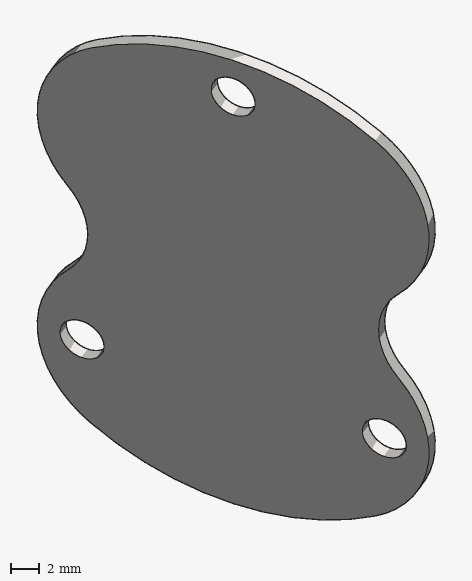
import cadquery as cq
import math

height = 41.65
width = 30.55
thickness = 1.0
waist_width = 22.7
lobe_height = 10.05
hole_diameter = 3.4
top_hole_height = 17.4
lower_hole_offset = 11.8

end_radius = height / 2
half_width = width / 2
half_waist = waist_width / 2

lobe_radius = (end_radius**2 - half_width**2 - lobe_height**2) / (2 * (end_radius - half_width))
lobe_x = half_width - lobe_radius

waist_gap = half_waist - lobe_x
waist_radius = (waist_gap**2 + lobe_height**2 - lobe_radius**2) / (2 * (lobe_radius - waist_gap))
waist_x = half_waist + waist_radius

end_scale = end_radius / math.hypot(lobe_x, lobe_height)
end_x = lobe_x * end_scale
end_z = lobe_height * end_scale
waist_share = waist_radius / (waist_radius + lobe_radius)
neck_x = waist_x + (lobe_x - waist_x) * waist_share
neck_z = lobe_height * waist_share


def make_plate():
    """Waisted plate, centred on the origin, standing in the XZ plane."""
    return (
        cq.Workplane("XZ", origin=(0, thickness / 2, 0))
        .moveTo(-end_x, end_z)
        .threePointArc((0, end_radius), (end_x, end_z))
        .threePointArc((half_width, lobe_height), (neck_x, neck_z))
        .threePointArc((half_waist, 0), (neck_x, -neck_z))
        .threePointArc((half_width, -lobe_height), (end_x, -end_z))
        .threePointArc((0, -end_radius), (-end_x, -end_z))
        .threePointArc((-half_width, -lobe_height), (-neck_x, -neck_z))
        .threePointArc((-half_waist, 0), (-neck_x, neck_z))
        .threePointArc((-half_width, lobe_height), (-end_x, end_z))
        .close()
        .extrude(thickness)
    )


def make_holes():
    """Cutters for the top hole and the two lower holes, through the plate."""
    centres = [
        (0, top_hole_height),
        (-lower_hole_offset, -lobe_height),
        (lower_hole_offset, -lobe_height),
    ]
    return (
        cq.Workplane("XZ", origin=(0, thickness / 2, 0))
        .pushPoints(centres)
        .circle(hole_diameter / 2)
        .extrude(thickness)
    )


result = make_plate().cut(make_holes())